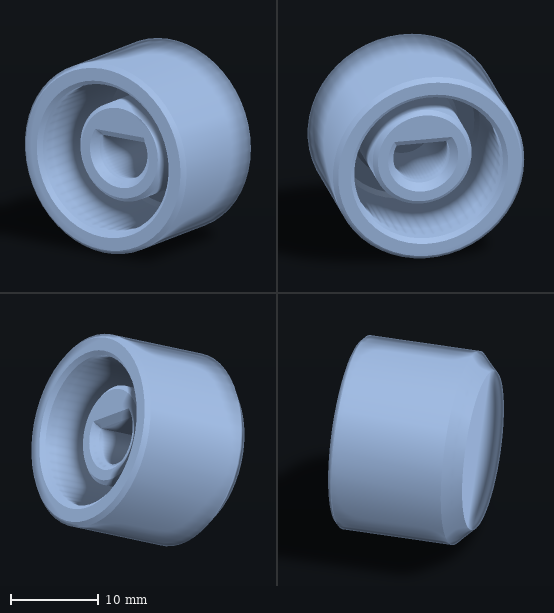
import cadquery as cq
import math

outer_radius = 22.5 / 2
length = 15.5
rear_chamfer = 2.0
edge_chamfer = 0.5

cavity_radius = 17.5 / 2
wall = outer_radius - cavity_radius
cavity_floor = length - wall

boss_radius = 11.64 / 2
boss_recess = 3.3

hole_radius = boss_radius - wall
hole_flat_height = 1.55
hole_chamfer = 0.8
hole_floor = cavity_floor

front_y = -length / 2


def make_body():
    """Revolve the half-section (radius, distance from the open face) about Y."""
    section = [
        (0, boss_recess),
        (boss_radius - edge_chamfer, boss_recess),
        (boss_radius, boss_recess + edge_chamfer),
        (boss_radius, cavity_floor - edge_chamfer),
        (boss_radius + edge_chamfer, cavity_floor),
        (cavity_radius - edge_chamfer, cavity_floor),
        (cavity_radius, cavity_floor - edge_chamfer),
        (cavity_radius, edge_chamfer),
        (cavity_radius + edge_chamfer, 0),
        (outer_radius - edge_chamfer, 0),
        (outer_radius, edge_chamfer),
        (outer_radius, length - rear_chamfer),
        (outer_radius - rear_chamfer, length),
        (0, length),
    ]
    return cq.Workplane("XY").polyline(section).close().revolve(360, (0, 0, 0), (0, 1, 0))


def make_shaft_hole():
    """D-shaped cutter, widened by a chamfer where it meets the boss face."""
    half_flat = math.sqrt(hole_radius**2 - hole_flat_height**2)
    profile = (
        cq.Workplane("XZ", origin=(0, boss_recess, 0))
        .moveTo(-half_flat, hole_flat_height)
        .threePointArc((0, -hole_radius), (half_flat, hole_flat_height))
        .close()
    )
    return profile.extrude(boss_recess - hole_floor)


def make_hole_mouth():
    """Countersink of the D hole: a cone trimmed by a sloping flat."""
    mouth_radius = hole_radius + hole_chamfer
    cone = (
        cq.Workplane("XY")
        .polyline([
            (0, boss_recess),
            (mouth_radius, boss_recess),
            (hole_radius, boss_recess + hole_chamfer),
            (0, boss_recess + hole_chamfer),
        ])
        .close()
        .revolve(360, (0, 0, 0), (0, 1, 0))
    )
    below_flat = (
        cq.Workplane("YZ")
        .polyline([
            (boss_recess, -mouth_radius),
            (boss_recess, hole_flat_height + hole_chamfer),
            (boss_recess + hole_chamfer, hole_flat_height),
            (boss_recess + hole_chamfer, -mouth_radius),
        ])
        .close()
        .extrude(mouth_radius, both=True)
    )
    return cone.intersect(below_flat)


knob = make_body().cut(make_shaft_hole()).cut(make_hole_mouth())
result = knob.translate((0, front_y, 0))